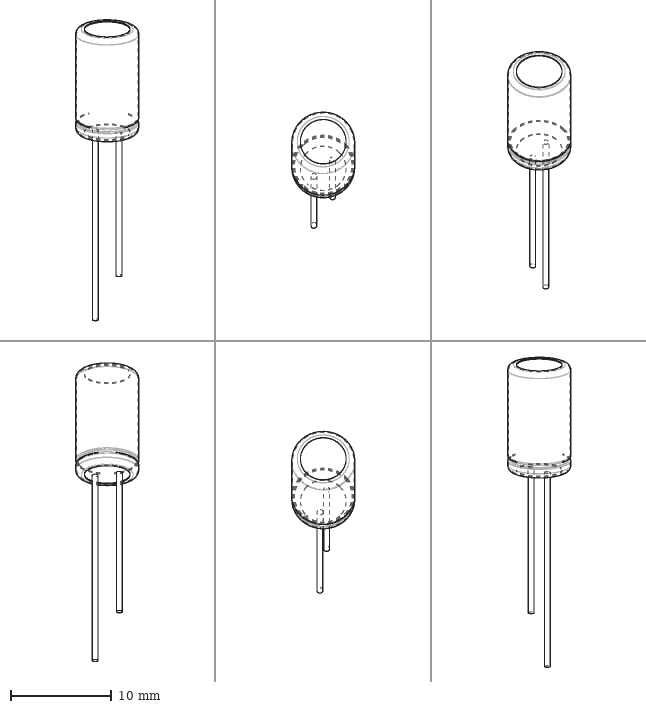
import cadquery as cq
import math

SLEEVE_DIAMETER = 6.3
SLEEVE_HEIGHT = 11.0
SLEEVE_THICKNESS = 0.1
SLEEVE_OPENING_DIAMETER = 4.55
RIM_RADIUS = 0.565

GROOVE_CENTER_Z = 1.31
GROOVE_HALF_WIDTH = 0.28
GROOVE_SHOULDER_RADIUS = 0.2
GROOVE_FLOOR_RADIUS = 0.1

LEAD_DIAMETER = 0.6
LEAD_PITCH = 2.5
LONG_LEAD_LENGTH = 20.0
SHORT_LEAD_LENGTH = 15.0

GROOVE_CENTER_DISTANCE = GROOVE_SHOULDER_RADIUS + GROOVE_FLOOR_RADIUS
GROOVE_ARC_ANGLE = math.asin(GROOVE_HALF_WIDTH / GROOVE_CENTER_DISTANCE)
GROOVE_DEPTH = GROOVE_CENTER_DISTANCE * (1 - math.cos(GROOVE_ARC_ANGLE))


def arc_point(center, radius, angle):
    """Point (r, z) on an arc, with the angle counted from the outward radial direction."""
    return (center[0] + radius * math.cos(angle), center[1] + radius * math.sin(angle))


def grooved_cylinder(inset):
    """Solid with rounded rims and a crimp groove, its surface lying inset below the sleeve's outside."""
    wall_r = SLEEVE_DIAMETER / 2 - inset
    bottom_z = inset
    top_z = SLEEVE_HEIGHT - inset
    rim = RIM_RADIUS - inset
    convex = GROOVE_SHOULDER_RADIUS - inset

    low_center = (wall_r - convex, GROOVE_CENTER_Z - GROOVE_HALF_WIDTH)
    high_center = (wall_r - convex, GROOVE_CENTER_Z + GROOVE_HALF_WIDTH)
    floor_r = wall_r - GROOVE_DEPTH
    bottom_rim_center = (wall_r - rim, bottom_z + rim)
    top_rim_center = (wall_r - rim, top_z - rim)

    turn = GROOVE_ARC_ANGLE
    half_turn = turn / 2
    eighth = math.pi / 4
    profile = (
        cq.Workplane("XZ")
        .moveTo(0, bottom_z)
        .lineTo(wall_r - rim, bottom_z)
        .threePointArc(arc_point(bottom_rim_center, rim, -eighth), (wall_r, bottom_z + rim))
        .lineTo(wall_r, low_center[1])
        .threePointArc(arc_point(low_center, convex, half_turn), arc_point(low_center, convex, turn))
        .threePointArc((floor_r, GROOVE_CENTER_Z), arc_point(high_center, convex, -turn))
        .threePointArc(arc_point(high_center, convex, -half_turn), (wall_r, high_center[1]))
        .lineTo(wall_r, top_z - rim)
        .threePointArc(arc_point(top_rim_center, rim, eighth), (wall_r - rim, top_z))
        .lineTo(0, top_z)
        .close()
    )
    return profile.revolve(360, (0, 0, 0), (0, 1, 0))


def make_sleeve():
    """Thin sleeve wrapped over the can, with a round opening at each end."""
    openings = cq.Workplane("XY").circle(SLEEVE_OPENING_DIAMETER / 2).extrude(SLEEVE_HEIGHT)
    return grooved_cylinder(0).cut(grooved_cylinder(SLEEVE_THICKNESS)).cut(openings)


def make_can():
    """Can that fills the sleeve, in one piece with its two leads."""
    can = grooved_cylinder(SLEEVE_THICKNESS)
    for side, length in ((-1, LONG_LEAD_LENGTH), (1, SHORT_LEAD_LENGTH)):
        lead = (
            cq.Workplane("XY", origin=(side * LEAD_PITCH / 2, 0, SLEEVE_THICKNESS))
            .circle(LEAD_DIAMETER / 2)
            .extrude(-(length + SLEEVE_THICKNESS))
        )
        can = can.union(lead)
    return can


sleeve = make_sleeve()
can = make_can()

result = cq.Compound.makeCompound([sleeve.val(), can.val()])